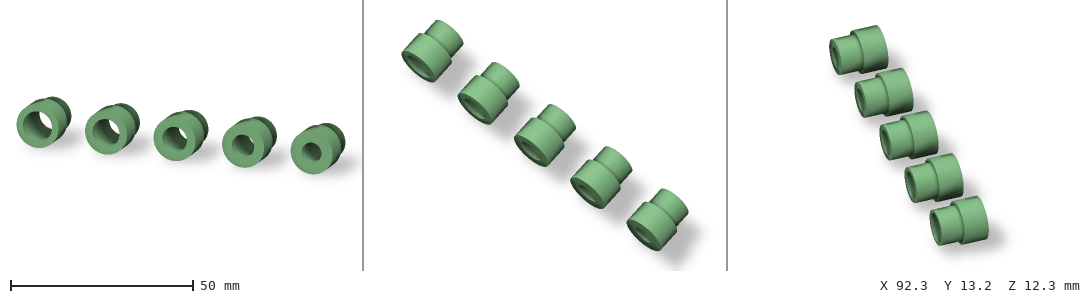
import cadquery as cq

ROW_LENGTH = 92.3
HEAD_DIAMETER = 12.3
HEAD_LENGTH = 6.9
SPIGOT_DIAMETER = 10.15
SPIGOT_LENGTH = 6.3

BORE_DIAMETERS = [8.5, 7.8, 7.2, 6.5, 5.7]

PITCH = (ROW_LENGTH - HEAD_DIAMETER) / (len(BORE_DIAMETERS) - 1)
TOTAL_LENGTH = HEAD_LENGTH + SPIGOT_LENGTH
FRONT_Y = -TOTAL_LENGTH / 2
FIRST_X = (HEAD_DIAMETER - ROW_LENGTH) / 2


def cylinder_along_y(diameter, start_y, length):
    """Solid cylinder on the Y axis running from start_y toward +Y."""
    return (
        cq.Workplane("XZ", origin=(0, start_y, 0))
        .circle(diameter / 2)
        .extrude(-length)
    )


def make_bushing(bore_diameter):
    """Bushing with a wide head at the front, a narrower spigot behind it and a through bore."""
    head = cylinder_along_y(HEAD_DIAMETER, FRONT_Y, HEAD_LENGTH)
    spigot = cylinder_along_y(SPIGOT_DIAMETER, FRONT_Y + HEAD_LENGTH, SPIGOT_LENGTH)
    bore = cylinder_along_y(bore_diameter, FRONT_Y, TOTAL_LENGTH)
    return head.union(spigot).cut(bore)


bushings = []
for index, bore_diameter in enumerate(BORE_DIAMETERS):
    center_x = FIRST_X + index * PITCH
    bushing = make_bushing(bore_diameter).translate((center_x, 0, 0))
    bushings.append(bushing.val())

result = cq.Compound.makeCompound(bushings)